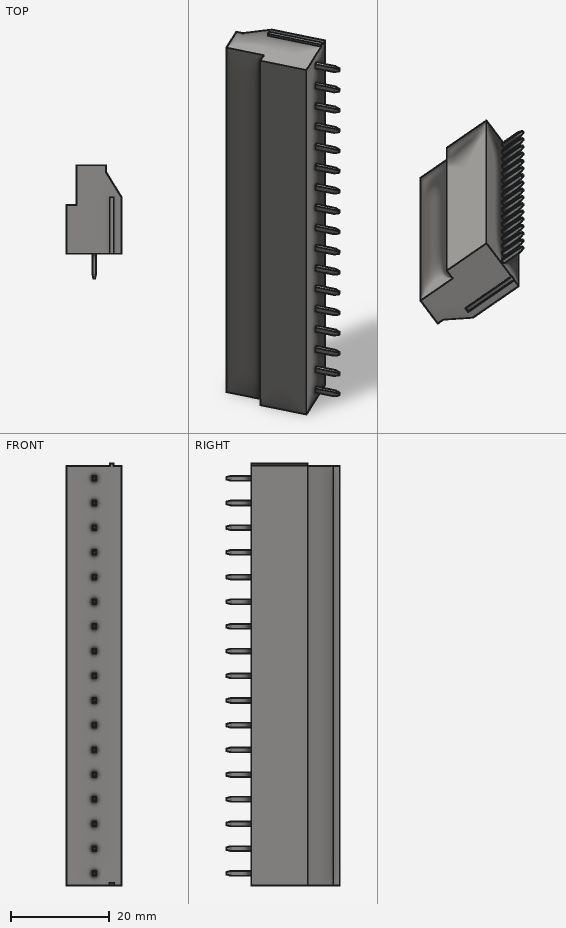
import cadquery as cq

overall_height = 85.5
pole_count = 17
body_width = 11.2
body_depth = 17.95
body_height = 85.0
pole_pitch = body_height / pole_count

step_width = 2.05
step_depth = 9.9
crown_right = 8.0
crown_drop = 1.4
slope_end_depth = 11.45

rib_left = 8.8
rib_width = 0.8
rib_length = 11.45
rib_height = overall_height - body_height
groove_clearance = 0.1
groove_depth = 0.6

pin_center = 5.65
pin_width = 0.8
pin_thickness = 1.0
pin_length = 5.05
tip_length = 0.9
tip_ratio = 0.5


def make_housing():
    outline = [
        (0, 0),
        (body_width, 0),
        (body_width, slope_end_depth),
        (crown_right, body_depth - crown_drop),
        (crown_right, body_depth),
        (step_width, body_depth),
        (step_width, step_depth),
        (0, step_depth),
    ]
    return cq.Workplane("XY").polyline(outline).close().extrude(body_height)


def make_rib():
    rib = cq.Workplane("XY").box(rib_width, rib_length, rib_height, centered=False)
    return rib.translate((rib_left, 0, body_height))


def make_groove():
    groove = cq.Workplane("XY").box(
        rib_width + 2 * groove_clearance,
        rib_length + groove_clearance,
        groove_depth,
        centered=False,
    )
    return groove.translate((rib_left - groove_clearance, 0, 0))


def make_pin(height):
    shank_length = pin_length - tip_length
    base = cq.Workplane("XZ", origin=(pin_center, 0, height))
    shank = base.rect(pin_width, pin_thickness).extrude(shank_length)
    tip = (
        base.workplane(offset=shank_length)
        .rect(pin_width, pin_thickness)
        .workplane(offset=tip_length)
        .rect(pin_width * tip_ratio, pin_thickness * tip_ratio)
        .loft(ruled=True)
    )
    return shank.union(tip)


result = make_housing().union(make_rib()).cut(make_groove())
for pole in range(pole_count):
    result = result.union(make_pin((pole + 0.5) * pole_pitch))